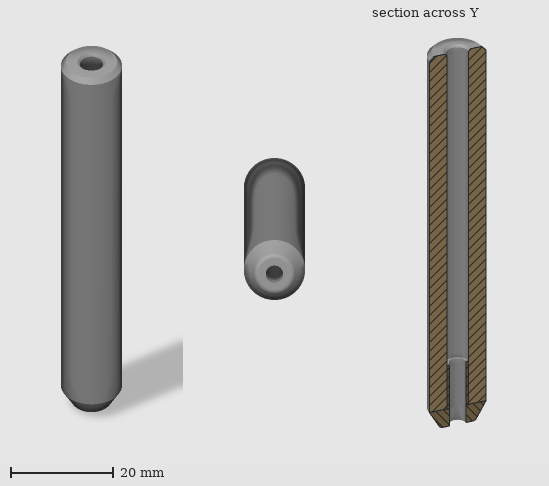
import cadquery as cq
import math

overall_length = 85.0
outer_radius = 6.0

tip_height = 4.0
taper_half_angle = math.radians(30.0)
tip_end_radius = outer_radius - tip_height * math.tan(taper_half_angle)
tip_edge_radius = 1.0

shaft_length = overall_length - tip_height
shaft_chamfer = 1.0
bore_radius = 2.25
bore_chamfer = 0.5

plug_height = 10.0
passage_radius = 1.7


def make_shaft():
    """Straight tube with a chamfered upper rim and a chamfered bore mouth."""
    tube = (
        cq.Workplane("XY")
        .workplane(offset=tip_height)
        .circle(outer_radius)
        .circle(bore_radius)
        .extrude(shaft_length)
    )
    bore_edge = cq.selectors.RadiusNthSelector(0)
    rim_edge = cq.selectors.RadiusNthSelector(-1)
    tube = tube.faces(">Z").edges(rim_edge).chamfer(shaft_chamfer)
    return tube.faces(">Z").edges(bore_edge).chamfer(bore_chamfer)


def make_tip():
    """Tapered end piece with a rounded lower edge and a through passage."""
    cone = cq.Workplane(cq.Solid.makeCone(tip_end_radius, outer_radius, tip_height))
    rounded = cone.faces("<Z").edges().fillet(tip_edge_radius)
    passage = cq.Workplane("XY").circle(passage_radius).extrude(tip_height)
    return rounded.cut(passage)


def make_plug():
    """Hollow insert that rests on the tip and fills the lower end of the shaft bore."""
    return (
        cq.Workplane("XY")
        .workplane(offset=tip_height)
        .circle(bore_radius)
        .circle(passage_radius)
        .extrude(plug_height)
    )


shaft = make_shaft()
tip = make_tip()
plug = make_plug()

result = cq.Compound.makeCompound([shaft.val(), tip.val(), plug.val()])